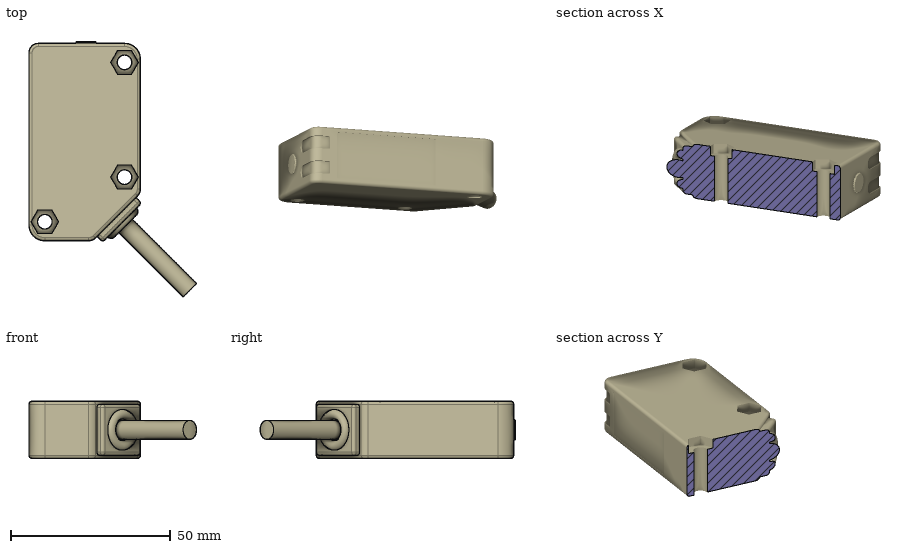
import cadquery as cq
import math

body_width = 35.0
body_length = 62.0
body_height = 18.0
mid_height = body_height / 2
bevel_leg = 15.0
bevel_corner_radius = 3.0
large_corner_radius = 5.0
small_corner_radius = 3.0
rim_radius = 1.0

hole_diameter = 4.5
nut_across_flats = 7.5
nut_pocket_depth = 3.0
hole_inset = 5.0
hole_edge_offset = 6.0
side_hole_y = 20.0
side_hole_spacing = 36.0
hole_positions = [
    (hole_inset, hole_edge_offset),
    (body_width - hole_inset, side_hole_y),
    (body_width - hole_inset, side_hole_y + side_hole_spacing),
]

panel_length = 33.0
panel_height = 15.0
panel_front_gap = 8.1
panel_depth = 0.1
panel_corner_radius = 0.5

window_height = 4.0
window_edge_gap = 3.0
window_side_length = 5.6
window_front_length = 11.0
window_depth = 0.5
window_corner_radius = 0.5

knob_x = 17.9
knob_radius = 3.2
knob_height = 0.5
knob_chamfer = 0.25
knurl_count = 32
knurl_width = 0.25
knurl_depth = 0.2

plate_width = 17.3
plate_height = 16.0
plate_thickness = 2.5
plate_edge_radius = 1.0
cable_radius = 3.0
cable_length = 32.5
collar_tube_radius = 1.5
collar_ring_radius = 4.9

overlap = 0.5


def make_housing():
    """Rounded pentagonal block lying on z = 0."""
    housing = (
        cq.Workplane("XY")
        .polyline([
            (0, 0),
            (body_width - bevel_leg, 0),
            (body_width, bevel_leg),
            (body_width, body_length),
            (0, body_length),
        ])
        .close()
        .extrude(body_height)
    )

    def round_corner(block, x, y, radius):
        corner = cq.selectors.NearestToPointSelector((x, y, mid_height))
        return block.edges("|Z").edges(corner).fillet(radius)

    housing = round_corner(housing, 0, 0, large_corner_radius)
    housing = round_corner(housing, body_width, body_length, large_corner_radius)
    housing = round_corner(housing, 0, body_length, small_corner_radius)
    housing = round_corner(housing, body_width - bevel_leg, 0, bevel_corner_radius)
    housing = round_corner(housing, body_width, bevel_leg, bevel_corner_radius)
    return housing.faces("<Z or >Z").edges().fillet(rim_radius)


def make_mounting_cuts():
    """Through holes and the nut pockets above them."""
    holes = (
        cq.Workplane("XY")
        .pushPoints(hole_positions)
        .circle(hole_diameter / 2)
        .extrude(body_height)
    )
    across_corners = nut_across_flats / math.cos(math.pi / 6)
    pockets = (
        cq.Workplane("XY", origin=(0, 0, body_height - nut_pocket_depth))
        .pushPoints(hole_positions)
        .polygon(6, across_corners)
        .extrude(nut_pocket_depth)
    )
    return holes.union(pockets)


def make_panel_cut():
    """Thin rounded slab cut from the -X side."""
    panel_y = body_length - panel_front_gap - panel_length / 2
    return (
        cq.Workplane("XY")
        .box(2 * panel_depth, panel_length, panel_height)
        .edges("|X")
        .fillet(panel_corner_radius)
        .translate((0, panel_y, mid_height))
    )


def make_wrap_shell():
    """Skin of the -X/+Y corner, one window depth thick.

    Both blocks reach far past the housing on +X and -Y, so only this one corner matters.
    """
    inner_radius = small_corner_radius - window_depth
    outer = cq.Workplane("XY").rect(2 * body_width, 2 * body_length).extrude(body_height)
    core = (
        cq.Workplane("XY")
        .rect(2 * (body_width - window_depth), 2 * (body_length - window_depth))
        .extrude(body_height)
        .edges("|Z")
        .fillet(inner_radius)
    )
    return outer.cut(core).translate((body_width, 0, 0))


def make_window_cut(base_z, outer_side):
    """One window; outer_side is ">Z" or "<Z", the side whose corner is rounded."""
    window_z = base_z + window_height / 2
    end_radius = window_height / 2
    straight_length = window_front_length - end_radius
    zone = (
        cq.Workplane("XY")
        .box(straight_length + overlap, window_side_length + overlap, window_height)
        .edges("|X")
        .edges("<Y")
        .edges(outer_side)
        .fillet(window_corner_radius)
        .translate((
            (straight_length - overlap) / 2,
            body_length + (overlap - window_side_length) / 2,
            window_z,
        ))
    )
    round_end = (
        cq.Workplane("XZ", origin=(straight_length, body_length + overlap, window_z))
        .circle(end_radius)
        .extrude(overlap + window_depth)
    )
    return zone.union(round_end).intersect(make_wrap_shell())


def make_knob():
    """Chamfered disc with knurl grooves around its rim."""
    length = knob_height + overlap
    knob = cq.Workplane("XY").circle(knob_radius).extrude(length)
    knob = knob.faces(">Z").chamfer(knob_chamfer)
    grooves = (
        cq.Workplane("XY")
        .polarArray(knob_radius, 0, 360, knurl_count)
        .rect(2 * knurl_depth, knurl_width)
        .extrude(length)
    )
    knob = knob.cut(grooves).rotate((0, 0, 0), (1, 0, 0), -90)
    return knob.translate((knob_x, body_length - overlap, mid_height))


def make_gland():
    """Plate, half-ring collar and cable stacked along the outward normal of the bevel."""
    bevel_plane = cq.Plane(
        origin=(body_width - bevel_leg / 2, bevel_leg / 2, mid_height),
        xDir=(1, 1, 0),
        normal=(1, -1, 0),
    )
    plate = (
        cq.Workplane(bevel_plane)
        .workplane(offset=-overlap)
        .rect(plate_width, plate_height)
        .extrude(plate_thickness + overlap)
        .edges("|(1, -1, 0) or >(1, -1, 0)")
        .fillet(plate_edge_radius)
    )
    collar = cq.Solid.makeTorus(
        collar_ring_radius,
        collar_tube_radius,
        bevel_plane.toWorldCoords((0, 0, plate_thickness)),
        bevel_plane.zDir,
    )
    cable = cq.Workplane(bevel_plane).circle(cable_radius).extrude(cable_length)
    return plate.union(cq.Workplane(collar)).union(cable)


result = make_housing().cut(make_mounting_cuts()).cut(make_panel_cut())
lower_window_z = window_edge_gap
upper_window_z = body_height - window_edge_gap - window_height
result = result.cut(make_window_cut(lower_window_z, "<Z"))
result = result.cut(make_window_cut(upper_window_z, ">Z"))
result = result.union(make_knob()).union(make_gland())